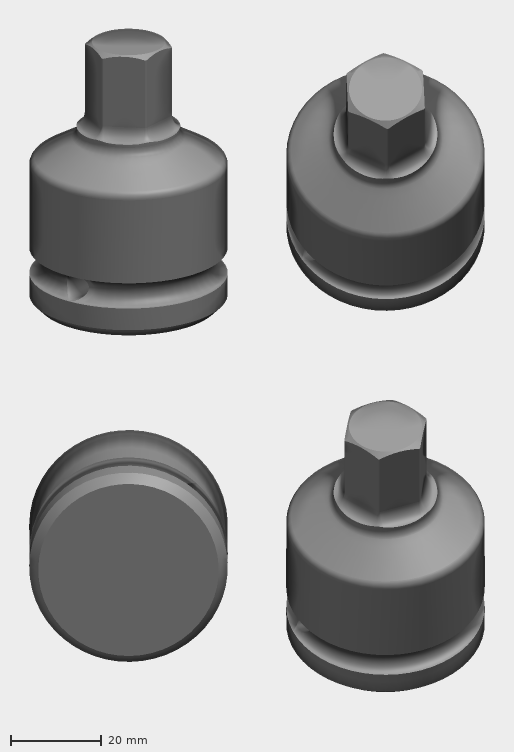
import cadquery as cq
import math

TOTAL_HEIGHT = 62.0
HEX_LENGTH = 20.0
COLLAR_TOP = TOTAL_HEIGHT - HEX_LENGTH

BODY_RADIUS = 22.0
BASE_CHAMFER = 2.0
BODY_TOP = 32.9
SHOULDER_ANGLE = math.radians(30.0)
SHOULDER_FILLET = 2.0

GROOVE_RADIUS = 3.0
GROOVE_HEIGHT = 10.15

HEX_SIDES = 6
HEX_ACROSS_FLATS = 17.0
HEX_CORNER_FILLET = 0.5
HEX_ROOT_FILLET = 3.0
TIP_RADIUS = 8.1
TIP_ANGLE = math.radians(30.0)

COLLAR_RADIUS = HEX_ACROSS_FLATS / 2 + HEX_ROOT_FILLET
HEX_ACROSS_CORNERS = HEX_ACROSS_FLATS / math.cos(math.pi / HEX_SIDES)


def arc_point(center_r, center_z, radius, angle):
    """Point on a circle in the radial half-plane."""
    return (center_r + radius * math.cos(angle), center_z + radius * math.sin(angle))


def make_body():
    """Revolved body: chamfered base, ring groove, cone and collar."""
    lower_center = (BODY_RADIUS - SHOULDER_FILLET, BODY_TOP)
    normal_angle = math.pi / 2 - SHOULDER_ANGLE
    cone_bottom = arc_point(*lower_center, SHOULDER_FILLET, normal_angle)
    lower_mid = arc_point(*lower_center, SHOULDER_FILLET, normal_angle / 2)

    cone_top_radius = COLLAR_RADIUS + SHOULDER_FILLET * (1 - math.cos(normal_angle))
    cone_rise = (cone_bottom[0] - cone_top_radius) * math.tan(SHOULDER_ANGLE)
    cone_top = (cone_top_radius, cone_bottom[1] + cone_rise)
    upper_center = (
        COLLAR_RADIUS + SHOULDER_FILLET,
        cone_top[1] + SHOULDER_FILLET * math.sin(normal_angle),
    )
    upper_mid = arc_point(*upper_center, SHOULDER_FILLET, math.pi + normal_angle / 2)

    profile = (
        cq.Workplane("XZ")
        .lineTo(BODY_RADIUS - BASE_CHAMFER, 0)
        .lineTo(BODY_RADIUS, BASE_CHAMFER)
        .lineTo(BODY_RADIUS, GROOVE_HEIGHT - GROOVE_RADIUS)
        .threePointArc(
            (BODY_RADIUS - GROOVE_RADIUS, GROOVE_HEIGHT),
            (BODY_RADIUS, GROOVE_HEIGHT + GROOVE_RADIUS),
        )
        .lineTo(BODY_RADIUS, BODY_TOP)
        .threePointArc(lower_mid, cone_bottom)
        .lineTo(*cone_top)
        .threePointArc(upper_mid, (COLLAR_RADIUS, upper_center[1]))
        .lineTo(COLLAR_RADIUS, COLLAR_TOP)
        .lineTo(0, COLLAR_TOP)
        .close()
    )
    return profile.revolve(360, (0, 0, 0), (0, 1, 0))


def make_hex_bit():
    """Hexagon with flats facing +X and -X, flared root and chamfered tip."""
    plate_radius = HEX_ACROSS_CORNERS
    plate_thickness = 1.0
    plate = (
        cq.Workplane("XY", origin=(0, 0, COLLAR_TOP - plate_thickness))
        .circle(plate_radius)
        .extrude(plate_thickness)
    )
    hexagon = (
        cq.Workplane("XY", origin=(0, 0, COLLAR_TOP))
        .transformed(rotate=(0, 0, 180 / HEX_SIDES))
        .polygon(HEX_SIDES, HEX_ACROSS_CORNERS)
        .extrude(HEX_LENGTH)
        .edges("|Z")
        .fillet(HEX_CORNER_FILLET)
    )
    root_box = cq.selectors.BoxSelector(
        (-COLLAR_RADIUS, -COLLAR_RADIUS, COLLAR_TOP - plate_thickness / 2),
        (COLLAR_RADIUS, COLLAR_RADIUS, COLLAR_TOP + plate_thickness / 2),
        boundingbox=True,
    )
    flared = plate.union(hexagon).edges(root_box).fillet(HEX_ROOT_FILLET)

    tip_drop = (COLLAR_RADIUS - TIP_RADIUS) * math.tan(TIP_ANGLE)
    envelope = (
        cq.Workplane("XZ")
        .moveTo(0, COLLAR_TOP)
        .lineTo(COLLAR_RADIUS, COLLAR_TOP)
        .lineTo(COLLAR_RADIUS, TOTAL_HEIGHT - tip_drop)
        .lineTo(TIP_RADIUS, TOTAL_HEIGHT)
        .lineTo(0, TOTAL_HEIGHT)
        .close()
        .revolve(360, (0, 0, 0), (0, 1, 0))
    )
    return flared.intersect(envelope)


def make_pin_hole():
    """Cross hole along Y through the whole body, as wide as the groove."""
    return (
        cq.Workplane("XZ", origin=(0, 0, GROOVE_HEIGHT))
        .circle(GROOVE_RADIUS)
        .extrude(BODY_RADIUS, both=True)
    )


result = make_body().union(make_hex_bit()).cut(make_pin_hole())